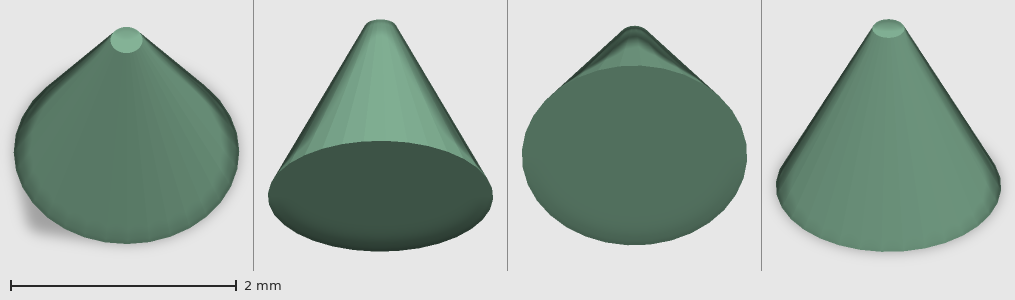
import cadquery as cq

side_count = 32
base_diameter = 2.0
tip_diameter = 0.285
height = 1.72

result = (
    cq.Workplane("XY")
    .polygon(side_count, base_diameter)
    .workplane(offset=height)
    .polygon(side_count, tip_diameter)
    .loft(ruled=True)
)